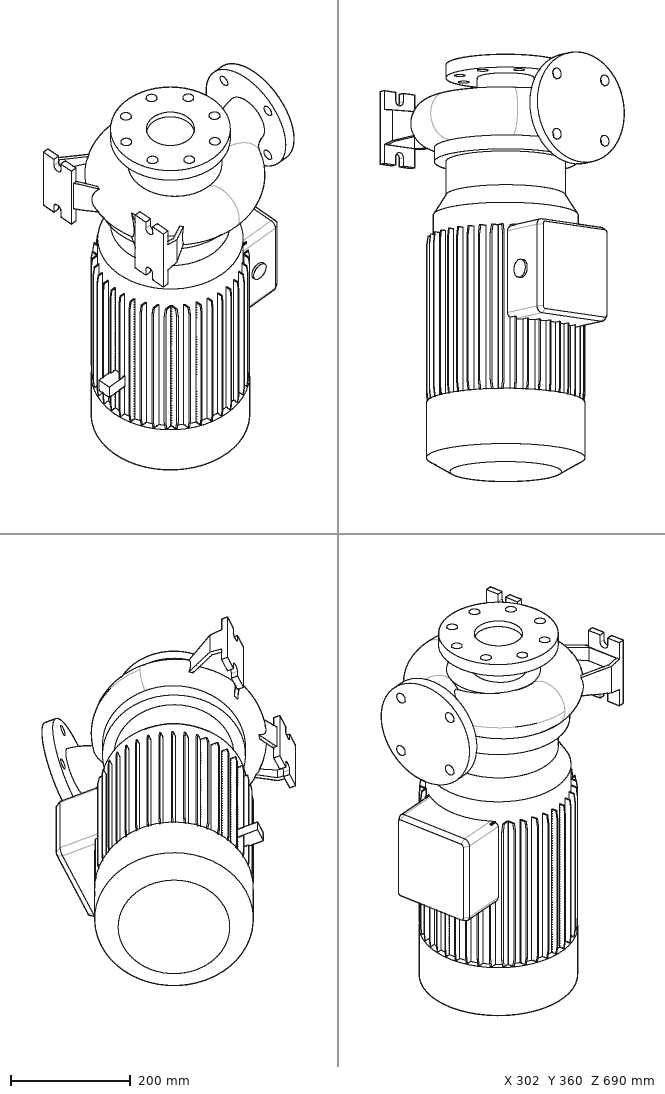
import cadquery as cq
import math


OVERALL_HEIGHT = 690.0
END_FACE_RADIUS = 93.0
FAN_COVER_RADIUS = 132.5
FAN_COVER_BASE_Z = 23.5
FAN_COVER_TOP_Z = 117.0
MOTOR_RADIUS = 121.5
FIN_TOP_Z = 397.0
CONE_BASE_Z = 435.0
CONE_TOP_Z = 468.5
LANTERN_RADIUS = 100.0
BACKPLATE_RADIUS = 119.5
BACKPLATE_Z = 526.0
VOLUTE_Z = 590.0

FIN_TIP_RADIUS = 132.5
FIN_END_RADIUS = 130.5
FIN_END_TAPER = 15.0
FIN_THICKNESS = 2.0
FIN_ROOT_DEPTH = 21.0
FINS_PER_SIDE = 10
FIN_PITCH_ANGLE = 9.0

BOX_WIDTH = 148.0
BOX_BOTTOM_Z = 237.5
BOX_BACK_Y = 185.0
BOX_ROUNDING = 10.5
BOX_BEVEL_DEPTH = 10.0
BOX_BEVEL_ANGLE = 30.0
GLAND_RADIUS = 15.0
GLAND_Y = 134.0
GLAND_TIP_X = 78.0
LUG_SIZE = 24.0
LUG_TIP_Y = -158.0
LUG_Z = 194.0

SUCTION_FLANGE_THICKNESS = 22.0
SUCTION_FLANGE_RADIUS = 100.0
SUCTION_NECK_RADIUS = 47.5
SUCTION_BORE_RADIUS = 40.0
SUCTION_BORE_DEPTH = 11.0
SUCTION_BOLT_CIRCLE_RADIUS = 80.0
SUCTION_BOLT_COUNT = 8
BOLT_HOLE_RADIUS = 9.0

TUBE_RADIUS = 41.0
VOLUTE_CENTER_X = 10.5
VOLUTE_PATH_RADIUS = 110.0
COVER_RADIUS = 79.0
COVER_EDGE_Z = 616.0
COVER_TOP_RADIUS = 37.0
COVER_TOP_Z = 628.5
TAIL_END_RADIUS = 27.5
TAIL_END_ANGLE = 62.0
TAIL_OUTER_RADIUS = 136.5
TAIL_STEPS = 4

DISCHARGE_Y = 200.0
DISCHARGE_FLANGE_THICKNESS = 20.0
DISCHARGE_FLANGE_RADIUS = 93.0
DISCHARGE_BOLT_CIRCLE_RADIUS = 72.5
DISCHARGE_BOLT_COUNT = 4

FOOT_FACE_Y = -160.0
FOOT_PLATE_THICKNESS = 11.0
FOOT_OUTER_X = 140.0
FOOT_INNER_X = 74.5
FOOT_HEIGHT = 123.5
FOOT_SLOT_WIDTH = 16.0
FOOT_SLOT_DEPTH = 22.0
BRACKET_WALL = 6.0
BRACKET_SHOULDER_Y = -127.5
BRACKET_OUTER_ANGLE = 62.0
BRACKET_OUTER_REACH = 76.0
BRACKET_INNER_ANGLE = 30.0
BRACKET_INNER_REACH = 55.0
BRACKET_HALF_HEIGHT = 30.0
BRACKET_TIP_HALF_HEIGHT = 18.0
BRACKET_TIP_Y = -79.0


def polar(radius, degrees, center=(0, 0)):
    """Point at a distance and direction from a center."""
    angle = math.radians(degrees)
    return (center[0] + radius * math.cos(angle), center[1] + radius * math.sin(angle))


def make_body():
    """Turned body from the fan cover up to the volute's middle plane."""
    profile = [
        (0, 0),
        (END_FACE_RADIUS, 0),
        (FAN_COVER_RADIUS, FAN_COVER_BASE_Z),
        (FAN_COVER_RADIUS, FAN_COVER_TOP_Z),
        (MOTOR_RADIUS, FAN_COVER_TOP_Z),
        (MOTOR_RADIUS, CONE_BASE_Z),
        (LANTERN_RADIUS, CONE_TOP_Z),
        (LANTERN_RADIUS, BACKPLATE_Z),
        (BACKPLATE_RADIUS, BACKPLATE_Z),
        (BACKPLATE_RADIUS, VOLUTE_Z),
        (0, VOLUTE_Z),
    ]
    return cq.Workplane("XZ").polyline(profile).close().revolve(360, (0, 0), (0, 1))


def make_fins():
    """Fins in four groups, each parallel to X or Y and trimmed to a barrel with tapered ends."""
    length = FIN_TOP_Z - FAN_COVER_TOP_Z
    middle_z = (FIN_TOP_Z + FAN_COVER_TOP_Z) / 2
    barrel = (
        cq.Workplane("XZ")
        .moveTo(0, FAN_COVER_TOP_Z)
        .lineTo(FIN_END_RADIUS, FAN_COVER_TOP_Z)
        .lineTo(FIN_TIP_RADIUS, FAN_COVER_TOP_Z + FIN_END_TAPER)
        .lineTo(FIN_TIP_RADIUS, FIN_TOP_Z - FIN_END_TAPER)
        .lineTo(FIN_END_RADIUS, FIN_TOP_Z)
        .lineTo(0, FIN_TOP_Z)
        .close()
        .revolve(360, (0, 0), (0, 1))
    )
    slabs = cq.Workplane("XY")
    for index in range(FINS_PER_SIDE):
        angle = FIN_PITCH_ANGLE * (index - (FINS_PER_SIDE - 1) / 2)
        offset = FIN_TIP_RADIUS * math.sin(math.radians(angle))
        root = FIN_TIP_RADIUS * math.cos(math.radians(angle)) - FIN_ROOT_DEPTH
        slab = cq.Workplane("XY").box(FIN_TIP_RADIUS, FIN_THICKNESS, length, centered=(False, True, True))
        slab = slab.translate((root, offset, middle_z))
        for turn in range(4):
            slabs = slabs.add(slab.rotate((0, 0, 0), (0, 0, 1), 90 * turn))
    return barrel.intersect(slabs.combine())


def make_terminal_box():
    """Rounded box on the +Y side with a bevelled lid and a cable entry on its +X wall."""
    height = FIN_TOP_Z - BOX_BOTTOM_Z
    middle_z = (FIN_TOP_Z + BOX_BOTTOM_Z) / 2
    box = (
        cq.Workplane("XZ")
        .center(0, middle_z)
        .rect(BOX_WIDTH, height)
        .extrude(-(BOX_BACK_Y - BOX_BEVEL_DEPTH))
        .edges("|Y")
        .fillet(BOX_ROUNDING)
        .faces(">Y")
        .wires()
        .toPending()
        .workplane()
        .extrude(BOX_BEVEL_DEPTH, taper=BOX_BEVEL_ANGLE)
    )
    gland = cq.Workplane("YZ").center(GLAND_Y, middle_z).circle(GLAND_RADIUS).extrude(GLAND_TIP_X)
    return box.union(gland)


def make_lug():
    """Square lug on the -Y side of the motor."""
    return cq.Workplane("XZ").center(0, LUG_Z).rect(LUG_SIZE, LUG_SIZE).extrude(-LUG_TIP_Y)


def make_volute():
    """Half-torus scroll that bends back into the discharge, plus a shrinking tail."""
    center = (VOLUTE_CENTER_X, 0)
    bend_radius = (VOLUTE_CENTER_X**2 + DISCHARGE_Y**2 - VOLUTE_PATH_RADIUS**2) / (
        2 * (VOLUTE_PATH_RADIUS + VOLUTE_CENTER_X)
    )
    bend_center = (bend_radius, DISCHARGE_Y)
    joint_angle = math.degrees(math.atan2(DISCHARGE_Y, bend_radius - VOLUTE_CENTER_X))
    scroll_path = (
        cq.Workplane("XY", origin=(0, 0, VOLUTE_Z))
        .moveTo(*polar(VOLUTE_PATH_RADIUS, 180, center))
        .threePointArc(polar(VOLUTE_PATH_RADIUS, 270, center), polar(VOLUTE_PATH_RADIUS, 0, center))
        .threePointArc(
            polar(VOLUTE_PATH_RADIUS, joint_angle / 2, center),
            polar(VOLUTE_PATH_RADIUS, joint_angle, center),
        )
        .threePointArc(polar(bend_radius, 180 + joint_angle / 2, bend_center), (0, DISCHARGE_Y))
    )
    scroll_start = VOLUTE_CENTER_X - VOLUTE_PATH_RADIUS
    scroll = (
        cq.Workplane("XZ", origin=(scroll_start, 0, VOLUTE_Z))
        .circle(TUBE_RADIUS)
        .sweep(scroll_path)
    )

    scroll_reach = TUBE_RADIUS - scroll_start
    sections = []
    for step in range(TAIL_STEPS + 1):
        fraction = step / TAIL_STEPS
        angle = 180 + (TAIL_END_ANGLE - 180) * fraction
        radius = TUBE_RADIUS + (TAIL_END_RADIUS - TUBE_RADIUS) * fraction**2
        outer = scroll_reach + (TAIL_OUTER_RADIUS - scroll_reach) * fraction
        x, y = polar(outer - radius, angle)
        dx, dy = polar(1, angle - 90)
        section = cq.Wire.makeCircle(radius, cq.Vector(x, y, VOLUTE_Z), cq.Vector(dx, dy, 0))
        sections.append(section)
    tail = cq.Workplane(cq.Solid.makeLoft(sections))

    cover_profile = [
        (0, BACKPLATE_Z),
        (COVER_RADIUS, BACKPLATE_Z),
        (COVER_RADIUS, COVER_EDGE_Z),
        (COVER_TOP_RADIUS, COVER_TOP_Z),
        (0, COVER_TOP_Z),
    ]
    cover = (
        cq.Workplane("XZ", origin=(VOLUTE_CENTER_X, 0, 0))
        .polyline(cover_profile)
        .close()
        .revolve(360, (0, 0), (0, 1))
    )
    return scroll.union(tail).union(cover)


def make_suction_port():
    """Drilled flange on a straight neck, with a shallow blind bore."""
    flange_z = OVERALL_HEIGHT - SUCTION_FLANGE_THICKNESS
    neck = (
        cq.Workplane("XY", origin=(0, 0, VOLUTE_Z))
        .circle(SUCTION_NECK_RADIUS)
        .extrude(OVERALL_HEIGHT - VOLUTE_Z)
    )
    flange = (
        cq.Workplane("XY", origin=(0, 0, flange_z))
        .circle(SUCTION_FLANGE_RADIUS)
        .extrude(SUCTION_FLANGE_THICKNESS)
    )
    bolt_holes = (
        cq.Workplane("XY", origin=(0, 0, flange_z))
        .polarArray(SUCTION_BOLT_CIRCLE_RADIUS, 180 / SUCTION_BOLT_COUNT, 360, SUCTION_BOLT_COUNT)
        .circle(BOLT_HOLE_RADIUS)
        .extrude(SUCTION_FLANGE_THICKNESS)
    )
    bore = (
        cq.Workplane("XY", origin=(0, 0, OVERALL_HEIGHT))
        .circle(SUCTION_BORE_RADIUS)
        .extrude(-SUCTION_BORE_DEPTH)
    )
    return flange.cut(bolt_holes).union(neck).cut(bore)


def make_discharge_flange():
    """Drilled flange closing the scroll's outlet on the +Y side."""
    face = cq.Workplane("XZ", origin=(0, DISCHARGE_Y, VOLUTE_Z))
    bolt_holes = (
        face
        .polarArray(DISCHARGE_BOLT_CIRCLE_RADIUS, 180 / DISCHARGE_BOLT_COUNT, 360, DISCHARGE_BOLT_COUNT)
        .circle(BOLT_HOLE_RADIUS)
        .extrude(DISCHARGE_FLANGE_THICKNESS)
    )
    return face.circle(DISCHARGE_FLANGE_RADIUS).extrude(DISCHARGE_FLANGE_THICKNESS).cut(bolt_holes)


def make_foot():
    """Foot on the -X side: slotted plate carried by a walled bracket with a middle web."""
    plate_back_y = FOOT_FACE_Y + FOOT_PLATE_THICKNESS
    plate_x = -(FOOT_OUTER_X + FOOT_INNER_X) / 2
    plate_back = cq.Workplane("XZ", origin=(plate_x, plate_back_y, VOLUTE_Z))
    plate = plate_back.rect(FOOT_OUTER_X - FOOT_INNER_X, FOOT_HEIGHT).extrude(FOOT_PLATE_THICKNESS)
    slots = (
        plate_back.pushPoints([(0, -FOOT_HEIGHT / 2), (0, FOOT_HEIGHT / 2)])
        .slot2D(2 * FOOT_SLOT_DEPTH, FOOT_SLOT_WIDTH, 90)
        .extrude(FOOT_PLATE_THICKNESS)
    )

    plate_middle_y = FOOT_FACE_Y + FOOT_PLATE_THICKNESS / 2
    shoulder = (-FOOT_OUTER_X, BRACKET_SHOULDER_Y)
    inner_corner = (-FOOT_INNER_X, plate_middle_y)
    corners = [
        (-FOOT_OUTER_X, plate_middle_y),
        shoulder,
        polar(BRACKET_OUTER_REACH, BRACKET_OUTER_ANGLE, shoulder),
        polar(BRACKET_INNER_REACH, BRACKET_INNER_ANGLE, inner_corner),
        inner_corner,
    ]
    level = cq.Workplane("XY", origin=(0, 0, VOLUTE_Z))
    full = level.polyline(corners).close().extrude(BRACKET_HALF_HEIGHT, both=True)
    hollow = level.polyline(corners).close().offset2D(-BRACKET_WALL).extrude(BRACKET_HALF_HEIGHT, both=True)
    web = level.polyline(corners).close().extrude(BRACKET_WALL / 2, both=True)
    taper = (
        cq.Workplane("YZ", origin=(-FOOT_OUTER_X, 0, VOLUTE_Z))
        .polyline(
            [
                (FOOT_FACE_Y, -BRACKET_HALF_HEIGHT),
                (plate_back_y, -BRACKET_HALF_HEIGHT),
                (BRACKET_TIP_Y, -BRACKET_TIP_HALF_HEIGHT),
                (0, -BRACKET_TIP_HALF_HEIGHT),
                (0, BRACKET_TIP_HALF_HEIGHT),
                (BRACKET_TIP_Y, BRACKET_TIP_HALF_HEIGHT),
                (plate_back_y, BRACKET_HALF_HEIGHT),
                (FOOT_FACE_Y, BRACKET_HALF_HEIGHT),
            ]
        )
        .close()
        .extrude(FOOT_OUTER_X)
    )
    bracket = full.cut(hollow).union(web).intersect(taper)
    return plate.union(bracket).cut(slots)


foot = make_foot()
result = (
    make_body()
    .union(make_fins())
    .union(make_terminal_box())
    .union(make_lug())
    .union(make_volute())
    .union(make_suction_port())
    .union(make_discharge_flange())
    .union(foot)
    .union(foot.mirror("YZ"))
)